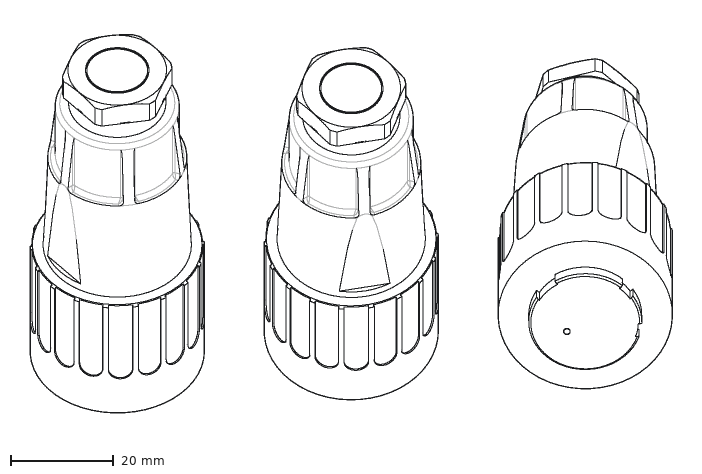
import cadquery as cq

INSERT_BOTTOM = 0.25
RING_BOTTOM = 3.1
RING_TOP = 32.5
FLAT_BOTTOM = 34.2
SHOULDER = 56.8
COLLAR_TOP = 71.7
HEX_BOTTOM = 75.6
TOTAL_HEIGHT = 80.7

RING_DIAMETER = 34.0
RING_CHAMFER = 0.5
GROOVE_COUNT = 18
GROOVE_WIDTH = 4.8
GROOVE_DEPTH = 0.3
GROOVE_END = 12.5
GROOVE_START_ANGLE = 2.3

SHELL_BOTTOM_RADIUS = 14.45
SHELL_TOP_RADIUS = 13.55
FLAT_DISTANCE = 13.5

COLLAR_DIAMETER = 24.2
COLLAR_FILLET = 0.9
RIB_COUNT = 6
RIB_WIDTH = 2.25
RIB_ROOT_FILLET = 0.3

NECK_DIAMETER = 19.0
HEX_ACROSS_FLATS = 19.3
HEX_TURN = 30
HEX_CORNER_DIAMETER = 21.5
HEX_CHAMFER_DIAMETER = 19.2
HEX_CHAMFER_HEIGHT = 0.6
SEAL_GAP_DIAMETER = 12.35
SEAL_GAP_WIDTH = 0.25
SEAL_GAP_DEPTH = 0.2

INSERT_DIAMETER = 22.0
INSERT_CHAMFER = 0.4
KEYWAY_FLOOR_DIAMETER = 20.65
KEYWAYS = [(-85, 3.15), (-34.5, 3.0), (180, 5.1)]
PIN_DIAMETER = 1.3
PIN_X = -1.2
PIN_Y = 3.9


def cylinder(diameter, bottom, top):
    return cq.Workplane("XY").workplane(offset=bottom).circle(diameter / 2).extrude(top - bottom)


def cone(bottom_radius, top_radius, bottom, top):
    profile = [(0, bottom), (bottom_radius, bottom), (top_radius, top), (0, top)]
    return cq.Workplane("XZ").polyline(profile).close().revolve(360, (0, 0, 0), (0, 1, 0))


def coupling_ring():
    ring = cylinder(RING_DIAMETER, RING_BOTTOM, RING_TOP).faces(">Z").edges().chamfer(RING_CHAMFER)
    floor_diameter = RING_DIAMETER - 2 * GROOVE_DEPTH
    end_radius = GROOVE_WIDTH / 2
    groove = (
        cq.Workplane("YZ")
        .moveTo(-end_radius, RING_TOP)
        .lineTo(-end_radius, GROOVE_END + end_radius)
        .threePointArc((0, GROOVE_END), (end_radius, GROOVE_END + end_radius))
        .lineTo(end_radius, RING_TOP)
        .close()
        .extrude(RING_DIAMETER)
        .cut(cylinder(floor_diameter, 0, TOTAL_HEIGHT))
    )
    for index in range(GROOVE_COUNT):
        angle = GROOVE_START_ANGLE + index * 360 / GROOVE_COUNT
        ring = ring.cut(groove.rotate((0, 0, 0), (0, 0, 1), angle))
    return ring


def rib_gaps(bottom, top):
    """Space around the collar between the ribs, rounded where it meets the collar, ribs and shoulder."""
    clearance_radius = SHELL_BOTTOM_RADIUS + 2 * COLLAR_FILLET
    gaps = cylinder(2 * clearance_radius, bottom, top).cut(cylinder(COLLAR_DIAMETER, bottom, top))
    for index in range(RIB_COUNT // 2):
        rib_pair = (
            cq.Workplane("XY")
            .workplane(offset=bottom)
            .rect(RIB_WIDTH, 3 * clearance_radius)
            .extrude(top - bottom)
            .rotate((0, 0, 0), (0, 0, 1), index * 360 / RIB_COUNT)
        )
        gaps = gaps.cut(rib_pair)
    return gaps.edges("|Z").fillet(RIB_ROOT_FILLET).faces("<Z").edges().fillet(COLLAR_FILLET)


def ribbed_collar():
    rib_top = COLLAR_TOP - COLLAR_FILLET
    core = cylinder(COLLAR_DIAMETER, SHOULDER, COLLAR_TOP).faces(">Z").edges().fillet(COLLAR_FILLET)
    ribs = cone(SHELL_TOP_RADIUS, COLLAR_DIAMETER / 2, SHOULDER, rib_top)
    return core.union(ribs.cut(rib_gaps(SHOULDER, rib_top)))


def flat_cutter(side):
    depth = SHELL_BOTTOM_RADIUS
    return (
        cq.Workplane("XY")
        .workplane(offset=FLAT_BOTTOM)
        .center(0, side * (FLAT_DISTANCE + depth / 2))
        .rect(2 * SHELL_BOTTOM_RADIUS, depth)
        .extrude(COLLAR_TOP - FLAT_BOTTOM)
    )


def clamping_nut():
    neck = cylinder(NECK_DIAMETER, COLLAR_TOP, HEX_BOTTOM)
    corner_radius = HEX_CORNER_DIAMETER / 2
    chamfer_bottom = TOTAL_HEIGHT - HEX_CHAMFER_HEIGHT
    rounding = cylinder(HEX_CORNER_DIAMETER, HEX_BOTTOM, chamfer_bottom).union(
        cone(corner_radius, HEX_CHAMFER_DIAMETER / 2, chamfer_bottom, TOTAL_HEIGHT)
    )
    hexagon = (
        cq.Workplane("XY")
        .workplane(offset=HEX_BOTTOM)
        .polygon(6, HEX_ACROSS_FLATS, circumscribed=True)
        .extrude(TOTAL_HEIGHT - HEX_BOTTOM)
        .rotate((0, 0, 0), (0, 0, 1), HEX_TURN)
        .intersect(rounding)
    )
    gap = (
        cq.Workplane("XY")
        .workplane(offset=TOTAL_HEIGHT - SEAL_GAP_DEPTH)
        .circle(SEAL_GAP_DIAMETER / 2)
        .circle(SEAL_GAP_DIAMETER / 2 - SEAL_GAP_WIDTH)
        .extrude(SEAL_GAP_DEPTH)
    )
    return neck.union(hexagon.cut(gap))


def contact_insert():
    insert = cylinder(INSERT_DIAMETER, INSERT_BOTTOM, RING_BOTTOM)
    insert = insert.faces("<Z").edges().chamfer(INSERT_CHAMFER)
    floor = cylinder(KEYWAY_FLOOR_DIAMETER, INSERT_BOTTOM, RING_BOTTOM)
    for angle, width in KEYWAYS:
        keyway = (
            cq.Workplane("XY")
            .workplane(offset=INSERT_BOTTOM)
            .center(INSERT_DIAMETER / 2, 0)
            .rect(INSERT_DIAMETER, width)
            .extrude(RING_BOTTOM - INSERT_BOTTOM)
            .cut(floor)
            .rotate((0, 0, 0), (0, 0, 1), angle)
        )
        insert = insert.cut(keyway)
    pin = cylinder(PIN_DIAMETER, 0, RING_BOTTOM).translate((PIN_X, PIN_Y, 0))
    return insert.union(pin)


shell = cone(SHELL_BOTTOM_RADIUS, SHELL_TOP_RADIUS, RING_TOP, SHOULDER)
body = shell.union(ribbed_collar())
for side in (-1, 1):
    body = body.cut(flat_cutter(side))

result = coupling_ring().union(body).union(clamping_nut()).union(contact_insert())